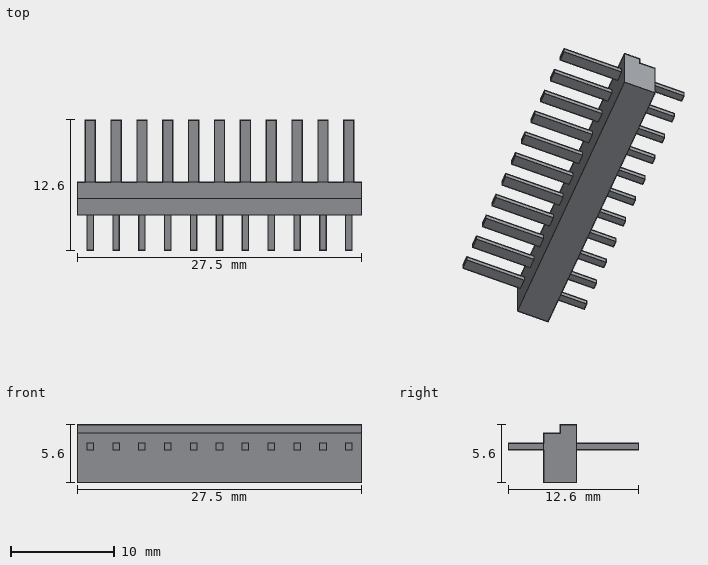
import cadquery as cq

pin_count = 11
pitch = 2.5
pin_thickness = 0.64
front_pin_width = 0.64
rear_pin_width = 1.0
front_pin_length = 3.4
rear_pin_length = 6.0
pin_axis_height = 3.5

body_length = pin_count * pitch
body_depth = 3.2
body_height = 5.6
step_depth = 1.6
step_drop = 0.8


def make_body():
    """L-topped housing bar, front face at Y = 0 and underside at Z = 0."""
    profile = [
        (0, 0),
        (body_depth, 0),
        (body_depth, body_height),
        (step_depth, body_height),
        (step_depth, body_height - step_drop),
        (0, body_height - step_drop),
    ]
    return cq.Workplane("YZ").polyline(profile).close().extrude(body_length / 2, both=True)


def make_pin(x):
    """Pin with a narrow front end and a wide rear end, joined inside the housing."""
    middle = body_depth / 2
    front = (
        cq.Workplane("XZ", origin=(x, middle, pin_axis_height))
        .rect(front_pin_width, pin_thickness)
        .extrude(middle + front_pin_length)
    )
    rear = (
        cq.Workplane("XZ", origin=(x, middle, pin_axis_height))
        .rect(rear_pin_width, pin_thickness)
        .extrude(-(middle + rear_pin_length))
    )
    return front.union(rear)


result = make_body()
for index in range(pin_count):
    pin_x = (index - (pin_count - 1) / 2) * pitch
    result = result.union(make_pin(pin_x))